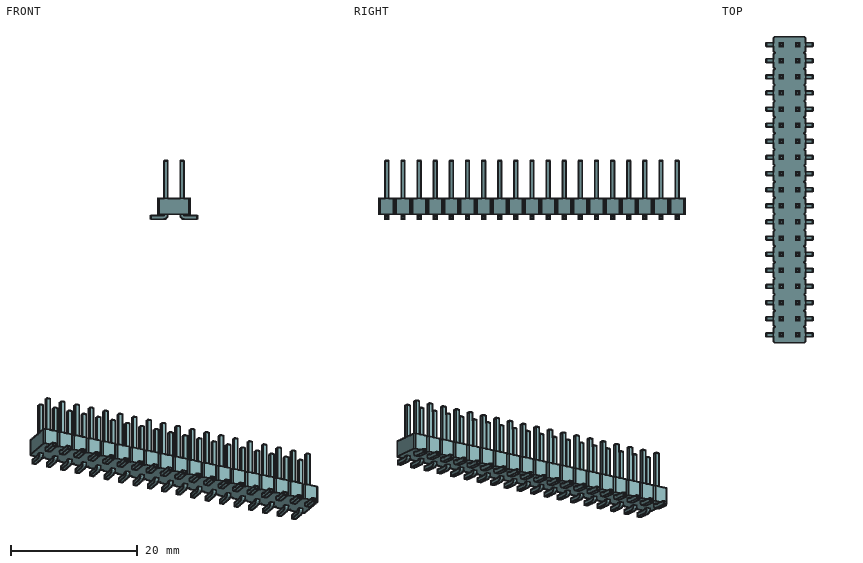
import cadquery as cq

positions = 19
body_length = 48.25
pitch = body_length / positions
row_spacing = pitch
body_width = 2 * pitch
body_height = pitch
notch = 0.25
standoff = 0.75

total_height = 9.3
foot_span = 7.55
pin_size = 0.65
tip_bevel = 0.15
inner_bend_radius = 0.05
outer_bend_radius = inner_bend_radius + pin_size

row_positions = [(i - (positions - 1) / 2) * pitch for i in range(positions)]


def side_outline():
    """Points along the +X side of the body, from -Y to +Y, with the V notches between segments."""
    face_x = body_width / 2
    half_face = pitch / 2 - notch
    points = [(face_x - notch, -body_length / 2)]
    for y in row_positions:
        points.append((face_x, y - half_face))
        points.append((face_x, y + half_face))
        points.append((face_x - notch, y + pitch / 2))
    return points


def make_body():
    """Solid insulator block standing above the soldering plane."""
    right_side = side_outline()
    left_side = [(-x, y) for x, y in reversed(right_side)]
    return (
        cq.Workplane("XY", origin=(0, 0, standoff))
        .polyline(right_side + left_side)
        .close()
        .extrude(body_height)
    )


def make_pin():
    """L-shaped pin of the +X row, its foot pointing to +X, centred on Y = 0."""
    upright_left = row_spacing / 2 - pin_size / 2
    upright_right = upright_left + pin_size
    foot_end = foot_span / 2
    bend_x = upright_left + outer_bend_radius
    return (
        cq.Workplane("XZ")
        .moveTo(upright_left, total_height)
        .lineTo(upright_left, outer_bend_radius)
        .radiusArc((bend_x, 0), -outer_bend_radius)
        .lineTo(foot_end, 0)
        .lineTo(foot_end, pin_size)
        .lineTo(bend_x, pin_size)
        .radiusArc((upright_right, outer_bend_radius), inner_bend_radius)
        .lineTo(upright_right, total_height)
        .close()
        .extrude(pin_size / 2, both=True)
        .faces(">Z or >X")
        .chamfer(tip_bevel)
    )


right_pin = make_pin()
left_pin = right_pin.mirror("YZ")

pins = []
for y in row_positions:
    for pin in (right_pin, left_pin):
        pins.append(pin.val().translate(cq.Vector(0, y, 0)))

result = make_body().union(cq.Workplane(cq.Compound.makeCompound(pins))).solids()